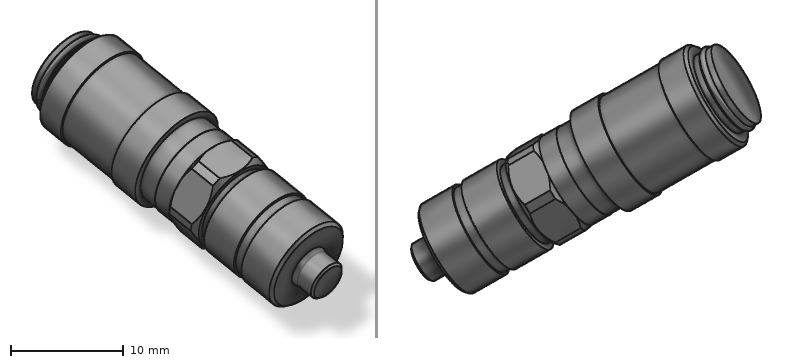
import cadquery as cq
import math

LENGTH = 33.55
END_DIAMETER = 8.02

RING_GROOVE_START = 0.6
RING_GROOVE_WIDTH = 0.7
RING_GROOVE_DIAMETER = 7.3

SLEEVE_START = 1.9
SLEEVE_DIAMETER = 10.35
SLEEVE_CHAMFER = 0.3
WAIST_START = 4.85
WAIST_END = 11.3
WAIST_DIAMETER = 9.93
SLEEVE_END = 14.3

NECK_DIAMETER = 9.0
NECK_STEP = 16.17
HEX_NECK_DIAMETER = 9.1

HEX_START = 18.0
HEX_END = 21.65
HEX_ACROSS_FLATS = 9.0
HEX_CORNER_DIAMETER = 9.9
HEX_FRONT_CHAMFER = 0.4
HEX_BACK_CHAMFER = 0.5
HEX_TURN = 20.6

CAP_START = 22.5
CAP_END = 31.07
CAP_DIAMETER = 9.2
CAP_CHAMFER = 0.3
CAP_GROOVE_START = 26.27
CAP_GROOVE_END = 27.25
CAP_GROOVE_DIAMETER = 8.72

TIP_DIAMETER = 3.85
TIP_ROOT_DIAMETER = 4.15
TIP_CONE_END = 31.57
TIP_CHAMFER = 0.2

WIRE_DIAMETER = 0.6
RING_GAP = 0.3


def cylinder(start, end, diameter):
    """Round section along X between two stations."""
    return cq.Workplane("YZ", origin=(start, 0, 0)).circle(diameter / 2).extrude(end - start)


def cone(start, end, start_diameter, end_diameter):
    """Conical section along X between two stations."""
    height = end - start
    return cq.Workplane(
        cq.Solid.makeCone(
            start_diameter / 2, end_diameter / 2, height, cq.Vector(start, 0, 0), cq.Vector(1, 0, 0)
        )
    )


def make_plug_end():
    groove_end = RING_GROOVE_START + RING_GROOVE_WIDTH
    plug = cylinder(0, RING_GROOVE_START, END_DIAMETER)
    plug = plug.union(cylinder(RING_GROOVE_START, groove_end, RING_GROOVE_DIAMETER))
    return plug.union(cylinder(groove_end, SLEEVE_START, END_DIAMETER))


def make_sleeve():
    first_band = cylinder(SLEEVE_START, WAIST_START, SLEEVE_DIAMETER).faces("<X").chamfer(SLEEVE_CHAMFER)
    waist = cylinder(WAIST_START, WAIST_END, WAIST_DIAMETER)
    second_band = cylinder(WAIST_END, SLEEVE_END, SLEEVE_DIAMETER)
    return first_band.union(waist).union(second_band)


def make_neck():
    neck = cylinder(SLEEVE_END, NECK_STEP, NECK_DIAMETER)
    return neck.union(cylinder(NECK_STEP, HEX_START, HEX_NECK_DIAMETER))


def make_hex():
    """Hexagon whose corners are turned round and whose ends are chamfered at 45 degrees."""
    width = HEX_END - HEX_START
    prism = (
        cq.Workplane("YZ", origin=(HEX_START, 0, 0))
        .polygon(6, HEX_ACROSS_FLATS, circumscribed=True)
        .extrude(width)
        .rotate((0, 0, 0), (1, 0, 0), HEX_TURN)
    )
    envelope = (
        cylinder(HEX_START, HEX_END, HEX_CORNER_DIAMETER)
        .faces("<X").chamfer(HEX_FRONT_CHAMFER)
        .faces(">X").chamfer(HEX_BACK_CHAMFER)
    )
    return prism.intersect(envelope)


def make_cap():
    undercut = cylinder(HEX_END, CAP_START, END_DIAMETER)
    first_band = cylinder(CAP_START, CAP_GROOVE_START, CAP_DIAMETER)
    groove = cylinder(CAP_GROOVE_START, CAP_GROOVE_END, CAP_GROOVE_DIAMETER)
    second_band = cylinder(CAP_GROOVE_END, CAP_END, CAP_DIAMETER).faces(">X").chamfer(CAP_CHAMFER)
    return undercut.union(first_band).union(groove).union(second_band)


def make_tip():
    root = cone(CAP_END, TIP_CONE_END, TIP_ROOT_DIAMETER, TIP_DIAMETER)
    tip = cylinder(TIP_CONE_END, LENGTH, TIP_DIAMETER).faces(">X").chamfer(TIP_CHAMFER)
    return root.union(tip)


def make_body():
    body = make_plug_end()
    for section in (make_sleeve(), make_neck(), make_hex(), make_cap(), make_tip()):
        body = body.union(section)
    return body


def make_snap_ring():
    """Wire ring, cut open on its -Y side."""
    wire_radius = WIRE_DIAMETER / 2
    wire_x = RING_GROOVE_START + wire_radius
    wire_y = RING_GROOVE_DIAMETER / 2 + wire_radius
    gap_angle = 2 * math.degrees(math.asin(RING_GAP / 2 / wire_y))
    return (
        cq.Workplane("XY")
        .center(wire_x, -wire_y)
        .circle(wire_radius)
        .revolve(360 - gap_angle, (0, wire_y, 0), (1, wire_y, 0))
        .rotate((0, 0, 0), (1, 0, 0), gap_angle / 2)
    )


body = make_body()
snap_ring = make_snap_ring()
result = cq.Compound.makeCompound([body.val(), snap_ring.val()])